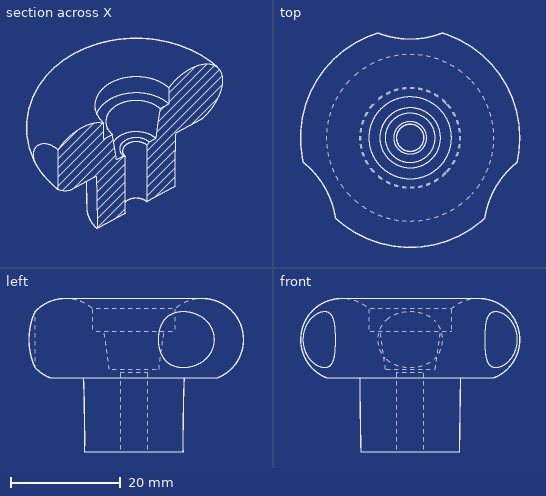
import cadquery as cq
import math

outer_radius = 20.0
total_height = 28.0

tube_radius = 7.5
head_height = 14.5
ring_radius = outer_radius - tube_radius
ring_z = total_height - tube_radius
head_bottom_z = total_height - head_height
underside_radius = ring_radius + math.sqrt(tube_radius**2 - (ring_z - head_bottom_z) ** 2)

stem_top_radius = 18.4 / 2
stem_bottom_radius = 18.0 / 2

recess_radius = 15.0 / 2
recess_floor_z = 22.0
rim_z = ring_z + math.sqrt(tube_radius**2 - (ring_radius - recess_radius) ** 2)
socket_top_radius = 11.0 / 2
socket_floor_radius = 9.05 / 2
socket_floor_z = 15.0
hole_radius = 4.9 / 2
hole_chamfer = 0.5

grip_count = 3
first_grip_angle = 90.0
grip_depth = 2.0
grip_radius = 16.0


def make_body():
    """Head, stem and stepped bore as one revolved half section (radius, height)."""
    return (
        cq.Workplane("XZ")
        .moveTo(hole_radius, 0)
        .lineTo(stem_bottom_radius, 0)
        .lineTo(stem_top_radius, head_bottom_z)
        .lineTo(underside_radius, head_bottom_z)
        .threePointArc((ring_radius, total_height), (recess_radius, rim_z))
        .lineTo(recess_radius, recess_floor_z)
        .lineTo(socket_top_radius, recess_floor_z)
        .lineTo(socket_floor_radius, socket_floor_z)
        .lineTo(hole_radius + hole_chamfer, socket_floor_z)
        .lineTo(hole_radius, socket_floor_z - hole_chamfer)
        .close()
        .revolve(360, (0, 0, 0), (0, 1, 0))
    )


def make_grips():
    """Upright cylinders, evenly spaced, that scoop shallow grips from the rim."""
    axis_distance = outer_radius - grip_depth + grip_radius
    return (
        cq.Workplane("XY")
        .workplane(offset=head_bottom_z)
        .polarArray(axis_distance, first_grip_angle, 360, grip_count)
        .circle(grip_radius)
        .extrude(head_height)
    )


result = make_body().cut(make_grips())